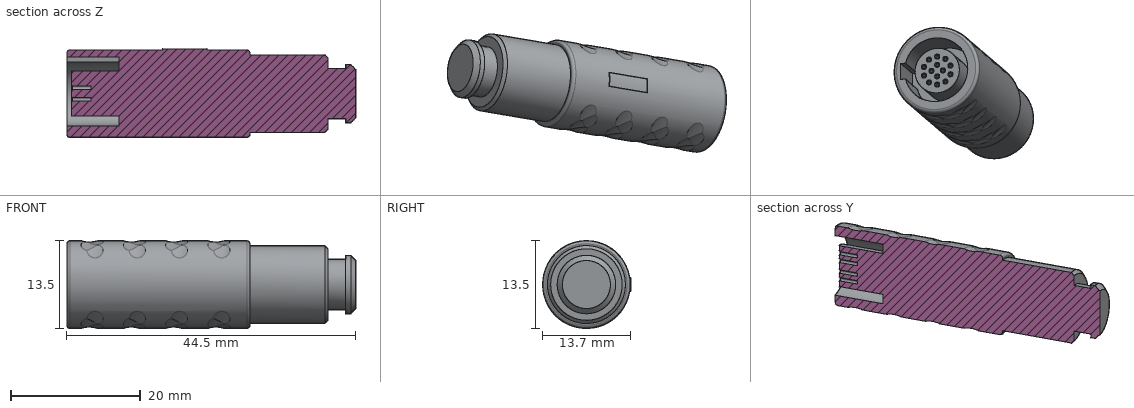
import cadquery as cq
import math


sleeve_radius = 6.75
sleeve_end = 28.2
sleeve_edge_fillet = 0.5

body_radius = 6.0
body_end = 40.2
body_chamfer = 0.5
neck_radius = 3.9
collar_radius = 4.5
collar_start = 42.9
overall_length = 44.5
collar_chamfer = 0.8

bore_radius = 5.0
bore_depth = 8.0
keyway_width = 2.5
keyway_reach = 5.6

insert_radius = 3.5
insert_recess = 0.7
contact_hole_diameter = 0.5
contact_mouth_diameter = 0.8
contact_hole_depth = 3.0
contact_mouth_angle = 90
contact_rings = [(10, 2.2), (4, 0.9)]

dimple_cutter_radius = 4.0
dimple_depth = 0.2
dimples_per_turn = 14
dimple_step = 360 / dimples_per_turn
dimple_band_start = 3.9
dimple_band_pitch = 6.5
dimple_band_count = 4
dimple_row_offset = 0.45
dimple_rows = [
    (-dimple_row_offset, (-1, 0, 1)),
    (dimple_row_offset, (-1.5, -0.5, 0.5, 1.5)),
]

pad_start = 14.7
pad_end = 21.6
pad_width = 2.2
pad_height = 0.15


def cylinder(radius, start, end):
    """Cylinder about the X axis between two X positions."""
    return cq.Workplane("YZ").workplane(offset=start).circle(radius).extrude(end - start)


def make_shell():
    """Sleeve, rear body, neck and collar turned about the X axis."""
    profile = (
        cq.Workplane("XY")
        .moveTo(0, 0)
        .lineTo(0, -(sleeve_radius - sleeve_edge_fillet))
        .radiusArc((sleeve_edge_fillet, -sleeve_radius), -sleeve_edge_fillet)
        .lineTo(sleeve_end - sleeve_edge_fillet, -sleeve_radius)
        .radiusArc((sleeve_end, -(sleeve_radius - sleeve_edge_fillet)), -sleeve_edge_fillet)
        .lineTo(sleeve_end, -body_radius)
        .lineTo(body_end - body_chamfer, -body_radius)
        .lineTo(body_end, -(body_radius - body_chamfer))
        .lineTo(body_end, -neck_radius)
        .lineTo(collar_start, -neck_radius)
        .lineTo(collar_start, -collar_radius)
        .lineTo(overall_length - collar_chamfer, -collar_radius)
        .lineTo(overall_length, -(collar_radius - collar_chamfer))
        .lineTo(overall_length, 0)
        .close()
    )
    return profile.revolve(360, (0, 0, 0), (1, 0, 0))


def make_socket_cavity():
    """Bore and keyway, less the contact insert that stays standing in them."""
    keyway = cq.Workplane("XY").box(bore_depth, keyway_reach, keyway_width, centered=(False, False, True))
    insert = cylinder(insert_radius, insert_recess, bore_depth)
    return cylinder(bore_radius, 0, bore_depth).union(keyway).cut(insert)


def drill_contacts(part):
    """Countersunk contact holes in two rings, the first hole of each at the top."""
    points = []
    for count, ring_radius in contact_rings:
        for index in range(count):
            angle = 2 * math.pi * index / count
            points.append((ring_radius * math.sin(angle), ring_radius * math.cos(angle)))
    insert_face = cq.Workplane(cq.Plane(origin=(insert_recess, 0, 0), xDir=(0, -1, 0), normal=(-1, 0, 0)))
    half_angle = contact_mouth_angle / 2
    mouth_depth = (contact_mouth_diameter - contact_hole_diameter) / 2 / math.tan(math.radians(half_angle))
    holes = insert_face.pushPoints(points).circle(contact_hole_diameter / 2).extrude(-contact_hole_depth)
    mouths = (
        insert_face.pushPoints(points)
        .circle(contact_mouth_diameter / 2)
        .extrude(-mouth_depth, taper=half_angle)
    )
    return part.cut(holes).cut(mouths)


def make_dimple_cutter(x, angle):
    """Cross-lying cylinder that scoops the sleeve at X = x, turned about X from the top."""
    axis_height = sleeve_radius - dimple_depth + dimple_cutter_radius
    return (
        cq.Workplane("XZ")
        .center(x, axis_height)
        .circle(dimple_cutter_radius)
        .extrude(sleeve_radius / 2, both=True)
        .rotate((0, 0, 0), (1, 0, 0), angle)
    )


def cut_dimples(part):
    """Bands of interlocking dimples on the top and bottom of the sleeve."""
    for band in range(dimple_band_count):
        band_x = dimple_band_start + band * dimple_band_pitch
        for side_angle in (0, 180):
            for row_offset, places in dimple_rows:
                for place in places:
                    part = part.cut(make_dimple_cutter(band_x + row_offset, side_angle + place * dimple_step))
    return part


def make_marking_pad():
    """Thin curved pad on the +Y side, rooted in the sleeve down to the bore radius."""
    outer = cylinder(sleeve_radius + pad_height, pad_start, pad_end)
    inner = cylinder(bore_radius, pad_start, pad_end)
    window = cq.Workplane("XY").box(
        overall_length, sleeve_radius + pad_height, pad_width, centered=(False, False, True)
    )
    return outer.cut(inner).intersect(window)


connector = make_shell().cut(make_socket_cavity())
connector = drill_contacts(connector)
connector = cut_dimples(connector)
result = connector.union(make_marking_pad())